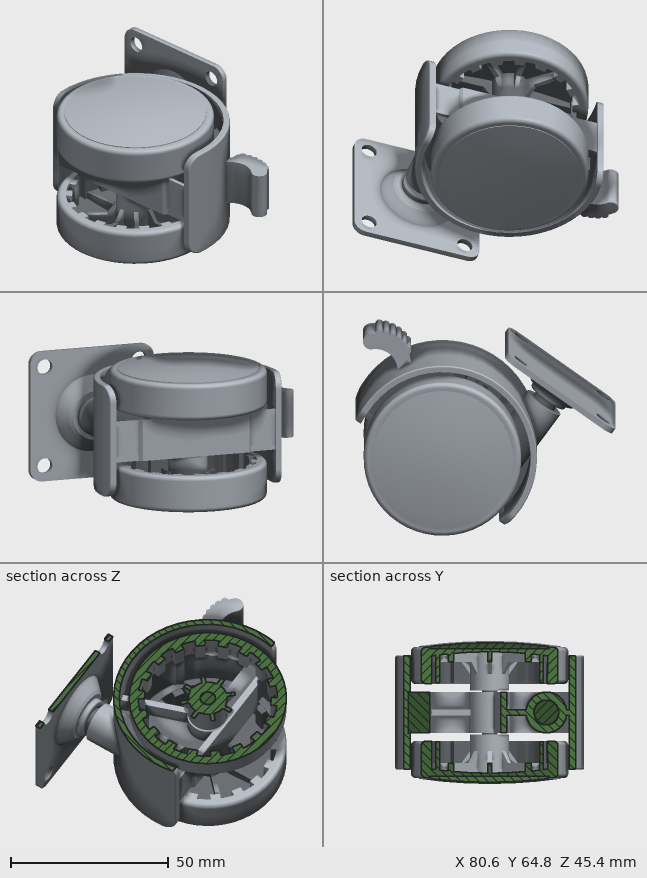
import cadquery as cq
import math


wheel_radius = 25.0
wheel_inner_face = 9.0
wheel_outer_face = 20.8
wheel_edge_fillet = 1.45
rim_inner_radius = 22.0
wheel_floor_apex = 19.75
hub_radius = 6.2
hub_face = 7.0
rib_count = 8
rib_thickness = 1.45
rib_hub_height = 12.2
rib_flat_height = 15.95
rib_flat_radius = 8.9
tooth_count = 18
tooth_width = 3.2
tooth_inner_radius = 20.0
tooth_height = 9.3

cap_radius = 22.5
cap_apex = 45.4 / 2
cap_lip = 0.25
cap_recess = 0.5

axle_radius = 2.5
axle_half_length = 16.9

hood_radius = 30.0
hood_thickness = 2.0
hood_inner_radius = hood_radius - hood_thickness
hood_half_width = 18.05
hood_bottom = -7.0
hood_corner_radius = 5.0
hood_edge_fillet = 0.5
core_half_width = 6.5
web_half_thickness = 1.0
base_thickness = 1.1
base_step = 1.05
base_outer_bottom = hood_bottom + base_step
base_top = base_outer_bottom + base_thickness
base_middle_half = 18.05
boss_radius = 6.5
stay_angle = 110.0
stay_thickness = 2.0
block_left = 12.0
block_half_width = 8.9

stem_x = -18.0
stem_radius = core_half_width
stem_bottom = 0.0
pin_radius = 4.0
pin_depth = 20.15
bushing_radius = stem_radius
bushing_bottom = 31.9
bushing_top = 33.85
bushing_fillet = 0.7

plate_side = 42.0
plate_thickness = 1.85
plate_top = 39.8
plate_bottom = plate_top - plate_thickness
plate_corner_radius = 4.0
plate_hole_offset = 16.0
plate_hole_diameter = 5.0
cone_top_radius = 12.4
cone_low_radius = 9.0
cone_end_radius = 8.0
cone_low = 34.6

lever_half_width = 7.5
lever_center = (32.4, 8.6)
lever_inner_radius = 7.0
lever_outer_radius = 12.0
lever_mid_radius = (lever_inner_radius + lever_outer_radius) / 2
lever_tip_radius = (lever_outer_radius - lever_inner_radius) / 2
lever_tip_angle = 45.0
lever_root_angle = 150.0
lever_left = 26.4
lever_reach = hood_radius + 20.15
bump_count = 6
bump_radius = 1.2
bump_first_angle = 59.8
bump_pitch = 10.3
lever_arm_inner_radius = 22.6
lever_arm_bottom = 2.4
neck_points = [(22.6, 15.6), (26.9, 19.0), (27.3, 13.2), (24.2, 11.3)]
slope_low = (17.1, 17.1)
slope_high = (20.8, 19.75)
saw_points = [(12.6, 20.3), (14.0, 18.1), (15.6, 19.25)]


def disc(radius, z_low, z_high):
    """Cylinder along Z about the wheel axis."""
    return cq.Workplane("XY").workplane(offset=z_low).circle(radius).extrude(z_high - z_low)


def slab(points, half_width):
    """Polygon in XY, extruded evenly to both sides of the middle plane."""
    return cq.Workplane("XY").polyline(points).close().extrude(half_width, both=True)


def box(x_range, y_range, half_width):
    """Rectangular block, even about the middle plane."""
    (x0, x1), (y0, y1) = x_range, y_range
    return slab([(x0, y0), (x1, y0), (x1, y1), (x0, y1)], half_width)


def stem_cylinder(radius, y_low, y_high):
    """Cylinder along Y about the stem axis."""
    base = cq.Workplane("XZ", origin=(stem_x, y_low, 0)).circle(radius)
    return base.extrude(y_low - y_high)


def polar(center, radius, degrees):
    """Point at a distance and direction from a center."""
    angle = math.radians(degrees)
    return (center[0] + radius * math.cos(angle), center[1] + radius * math.sin(angle))


def make_plate():
    """Square mounting plate with a cone around the pin."""
    plate = (
        cq.Workplane("XZ", origin=(stem_x, plate_bottom, 0))
        .rect(plate_side, plate_side)
        .extrude(-plate_thickness)
        .edges("|Y")
        .fillet(plate_corner_radius)
        .faces(">Y")
        .workplane(origin=(stem_x, plate_top, 0))
        .rect(2 * plate_hole_offset, 2 * plate_hole_offset, forConstruction=True)
        .vertices()
        .hole(plate_hole_diameter)
    )
    cone = (
        cq.Workplane("XY")
        .moveTo(0, bushing_top)
        .lineTo(cone_end_radius, bushing_top)
        .lineTo(cone_low_radius, cone_low)
        .lineTo(cone_top_radius, plate_bottom)
        .lineTo(0, plate_bottom)
        .close()
        .revolve(360, (0, 0, 0), (0, 1, 0))
        .translate((stem_x, 0, 0))
    )
    return plate.union(cone).cut(stem_cylinder(pin_radius, bushing_top, plate_bottom))


def make_bushing():
    """Ring around the pin, below the cone."""
    bushing = stem_cylinder(bushing_radius, bushing_bottom, bushing_top)
    bushing = bushing.faces("<Y").edges().fillet(bushing_fillet)
    return bushing.cut(stem_cylinder(pin_radius, bushing_bottom, bushing_top))


def make_pin():
    """Swivel pin from the stem to the plate."""
    return stem_cylinder(pin_radius, hood_radius - pin_depth, plate_bottom)


def make_hood():
    """Half-open cylindrical guard with rounded lower corners."""
    envelope = (
        cq.Workplane("YZ")
        .center((hood_bottom + hood_radius) / 2, 0)
        .rect(hood_radius - hood_bottom, 2 * hood_half_width)
        .extrude(hood_radius, both=True)
        .edges("|X and <Y")
        .fillet(hood_corner_radius)
    )
    block = disc(hood_radius, -hood_half_width, hood_half_width).intersect(envelope)
    block = block.edges("|Z and <Y").fillet(hood_edge_fillet)
    return block.cut(disc(hood_inner_radius, -hood_half_width, hood_half_width))


def make_base():
    """Floor plate between the hood ends, with its raised middle."""
    return slab(
        [
            (-hood_radius, base_top),
            (-hood_radius, base_outer_bottom),
            (-base_middle_half - base_step, base_outer_bottom),
            (-base_middle_half, hood_bottom),
            (base_middle_half, hood_bottom),
            (base_middle_half + base_step, base_outer_bottom),
            (hood_radius, base_outer_bottom),
            (hood_radius, base_top),
        ],
        core_half_width,
    )


def make_block():
    """Block under the hood whose underside carries two saw teeth."""
    return slab(
        [
            (block_left, hood_radius),
            (block_left, saw_points[0][1]),
            *saw_points,
            slope_low,
            slope_high,
            (slope_high[0], hood_radius),
        ],
        block_half_width,
    )


def make_housing():
    """Hood, base, web, axle boss, stay, toothed block and stem as one casting."""
    inside = disc((hood_inner_radius + hood_radius) / 2, -hood_half_width, hood_half_width)
    stay = (
        box((0, hood_radius), (-stay_thickness / 2, stay_thickness / 2), core_half_width)
        .rotate((0, 0, 0), (0, 0, 1), stay_angle)
    )
    stay_end = polar((0, 0), hood_radius, stay_angle)
    web = slab(
        [
            (-hood_radius, base_top),
            (hood_radius, base_top),
            (hood_radius, lever_arm_bottom),
            (0, lever_arm_bottom),
            stay_end,
            (-hood_radius, stay_end[1]),
        ],
        web_half_thickness,
    )
    boss = disc(boss_radius, -core_half_width, core_half_width)
    core = make_base().union(web).union(stay).union(boss).union(make_block()).intersect(inside)
    stem = stem_cylinder(stem_radius, stem_bottom, hood_radius)
    housing = make_hood().union(core).union(stem)
    pin_hole = stem_cylinder(pin_radius, hood_radius - pin_depth, hood_radius)
    return housing.cut(pin_hole).cut(make_axle()).cut(make_lever())


def make_axle():
    """Axle through the housing boss into both hubs."""
    return disc(axle_radius, -axle_half_length, axle_half_length)


def make_lever():
    """Brake lever: grip outside the hood, arm inside it."""
    c = lever_center
    middle = (lever_tip_angle + lever_root_angle) / 2
    grip = (
        cq.Workplane("XY")
        .moveTo(*polar(c, lever_inner_radius, lever_tip_angle))
        .threePointArc(polar(c, lever_inner_radius, middle), polar(c, lever_inner_radius, lever_root_angle))
        .lineTo(*polar(c, lever_outer_radius, lever_root_angle))
        .threePointArc(polar(c, lever_outer_radius, middle), polar(c, lever_outer_radius, lever_tip_angle))
        .close()
        .extrude(lever_half_width, both=True)
    )
    rounds = [(polar(c, lever_mid_radius, lever_tip_angle), lever_tip_radius)]
    for i in range(bump_count):
        rounds.append((polar(c, lever_outer_radius, bump_first_angle + i * bump_pitch), bump_radius))
    for center, radius in rounds:
        grip = grip.union(
            cq.Workplane("XY").center(*center).circle(radius).extrude(lever_half_width, both=True)
        )
    grip = grip.intersect(box((lever_left, lever_reach), (0, lever_reach), lever_half_width))
    grip = grip.cut(disc(hood_radius, -lever_half_width, lever_half_width))
    neck = slab(neck_points, core_half_width)
    arm = slab(
        [
            (slope_low[0], lever_arm_bottom),
            (hood_radius, lever_arm_bottom),
            (hood_radius, slope_high[1]),
            slope_high,
            slope_low,
        ],
        core_half_width,
    )
    arm = arm.intersect(disc(hood_inner_radius, -core_half_width, core_half_width))
    arm = arm.cut(disc(lever_arm_inner_radius, -core_half_width, core_half_width))
    return grip.union(neck).union(arm)


def domed_disc(radius, z_base, edge_height, apex):
    """Disc from z_base up, with a spherical top that passes edge_height at its edge and apex on the axis."""
    rise = apex - edge_height
    dome_radius = (radius**2 + rise**2) / (2 * rise)
    half = (radius / 2, apex - dome_radius + math.sqrt(dome_radius**2 - radius**2 / 4))
    return (
        cq.Workplane("XZ")
        .moveTo(0, z_base)
        .lineTo(radius, z_base)
        .lineTo(radius, edge_height)
        .threePointArc(half, (0, apex))
        .close()
        .revolve(360, (0, 0, 0), (0, 1, 0))
    )


def make_wheel():
    """Wheel on the +Z side: open towards the housing, ribbed inside."""
    floor_edge = wheel_floor_apex - (cap_apex - wheel_outer_face)
    rib = (
        cq.Workplane("XZ")
        .polyline([
            (0, rib_hub_height),
            (hub_radius, rib_hub_height),
            (rib_flat_radius, rib_flat_height),
            (rim_inner_radius, rib_flat_height),
            (rim_inner_radius, wheel_floor_apex),
            (0, wheel_floor_apex),
        ])
        .close()
        .extrude(rib_thickness / 2, both=True)
    )
    tooth = (
        cq.Workplane("XY")
        .workplane(offset=tooth_height)
        .center((tooth_inner_radius + rim_inner_radius) / 2, 0)
        .rect(rim_inner_radius - tooth_inner_radius, tooth_width)
        .extrude(wheel_floor_apex - tooth_height)
    )
    hollow = domed_disc(rim_inner_radius, wheel_inner_face, floor_edge, wheel_floor_apex)
    for i in range(rib_count):
        hollow = hollow.cut(rib.rotate((0, 0, 0), (0, 0, 1), i * 360 / rib_count))
    for i in range(tooth_count):
        hollow = hollow.cut(tooth.rotate((0, 0, 0), (0, 0, 1), i * 360 / tooth_count))
    hub = disc(hub_radius, hub_face, wheel_floor_apex)
    recess = disc(cap_radius, wheel_outer_face - cap_recess, wheel_outer_face)
    return (
        disc(wheel_radius, wheel_inner_face, wheel_outer_face)
        .edges()
        .fillet(wheel_edge_fillet)
        .cut(hollow)
        .union(hub)
        .cut(recess)
        .cut(make_axle())
    )


def make_cap():
    """Shallow domed cover on the +Z side."""
    return domed_disc(cap_radius, wheel_outer_face - cap_recess, wheel_outer_face + cap_lip, cap_apex)


bodies = [make_plate(), make_bushing(), make_pin(), make_housing(), make_axle(), make_lever()]
for part in (make_wheel(), make_cap()):
    bodies += [part, part.mirror("XY")]

result = cq.Compound.makeCompound([body.val() for body in bodies])